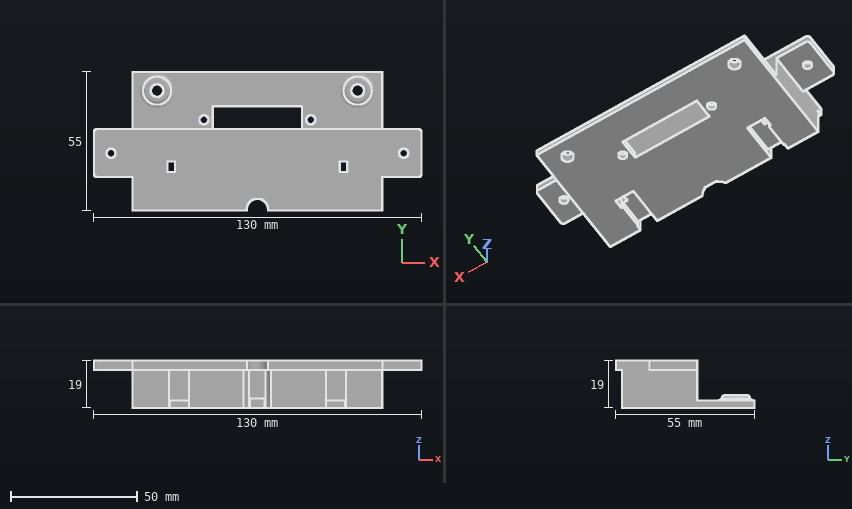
import cadquery as cq

total_depth = 55.0
total_height = 19.0
body_width = 99.2
lip_overhang = 2.3
step_y = 32.4
base_thickness = 3.1

plate_thickness = 3.9
plate_bottom = total_height - plate_thickness
wing_span = 130
wing_offset_x = 0.1
wing_front_y = 13.3
wing_corner_radius = 1.3

screw_diameter = 3.5
wing_hole_spacing = 116.1
wing_hole_y = 22.7
base_hole_spacing = 42.4
base_hole_y = 36.0
window_width = 35.4
window_rear_y = 41.3

boss_spacing = 79.5
boss_y = 47.6
boss_hole_diameter = 5.0
boss_foot_radius = 7.1
boss_waist_radius = 5.6
boss_top_radius = 4.22
boss_height = 2.1
boss_waist_height = 0.8

slot_spacing = 68.2
slot_width = 2.9
slot_length = 4.0
slot_y = 17.4
groove_inner_x = 27.2
groove_outer_x = 35.1
groove_depth = 2.3
channel_inset = 0.4
channel_height = 3.0

notch_radius = 4.2
notch_centre_y = 0.5
relief_radius = 6.4
relief_centre_y = -0.9
relief_flat_y = 4.5
recess_width = 5.7
recess_height = 3.8
recess_depth = 0.5


def block(x_min, x_max, y_min, y_max, z_min, z_max):
    """Box given by its limits along each axis."""
    return cq.Workplane("XY").box(
        x_max - x_min, y_max - y_min, z_max - z_min, centered=False
    ).translate((x_min, y_min, z_min))


def centred_block(width, y_min, y_max, z_min, z_max):
    return block(-width / 2, width / 2, y_min, y_max, z_min, z_max)


def cylinder(x, y, radius, z_min, z_max):
    return cq.Workplane("XY", origin=(x, y, z_min)).circle(radius).extrude(z_max - z_min)


def make_boss(x):
    """Low round boss: concave foot flowing into a rounded top."""
    foot_width = boss_foot_radius - boss_waist_radius
    shoulder_width = boss_waist_radius - boss_top_radius
    shoulder_height = boss_height - boss_waist_height
    foot_arc = (foot_width**2 + boss_waist_height**2) / (2 * boss_waist_height)
    shoulder_arc = (shoulder_width**2 + shoulder_height**2) / (2 * shoulder_height)
    return (
        cq.Workplane("XZ")
        .moveTo(0, -base_thickness)
        .lineTo(boss_foot_radius, -base_thickness)
        .lineTo(boss_foot_radius, 0)
        .radiusArc((boss_waist_radius, boss_waist_height), foot_arc)
        .radiusArc((boss_top_radius, boss_height), -shoulder_arc)
        .lineTo(0, boss_height)
        .close()
        .revolve(360, (0, 0, 0), (0, 1, 0))
        .translate((x, boss_y, base_thickness))
    )


def make_cable_route(side):
    """Groove, underside channel and top slot on one side (side is -1 or 1)."""
    groove_back_y = lip_overhang + groove_depth
    slot_rear_y = slot_y + slot_length / 2
    slot_x = side * slot_spacing / 2
    groove_x = sorted((side * groove_inner_x, side * groove_outer_x))
    channel_x = sorted((side * groove_inner_x, side * (groove_outer_x - channel_inset)))
    groove = block(*groove_x, 0, groove_back_y, 0, plate_bottom)
    channel = block(*channel_x, 0, slot_rear_y, 0, channel_height)
    slot = block(
        slot_x - slot_width / 2, slot_x + slot_width / 2,
        slot_y - slot_length / 2, slot_rear_y, 0, total_height,
    )
    return groove.union(channel).union(slot)


def make_front_relief():
    """U-notch in the plate above a larger, flat-backed round relief in the body."""
    notch = cylinder(0, notch_centre_y, notch_radius, plate_bottom, total_height)
    notch = notch.union(
        centred_block(2 * notch_radius, 0, notch_centre_y, plate_bottom, total_height)
    )
    relief = cylinder(0, relief_centre_y, relief_radius, 0, plate_bottom)
    relief = relief.intersect(
        centred_block(2 * relief_radius, 0, relief_flat_y, 0, plate_bottom)
    )
    recess = centred_block(recess_width, 0, relief_flat_y + recess_depth, 0, recess_height)
    return notch.union(relief).union(recess)


base = centred_block(body_width, lip_overhang, total_depth, 0, base_thickness)
raised_block = centred_block(body_width, lip_overhang, step_y, 0, plate_bottom)
plate = centred_block(body_width, 0, step_y, plate_bottom, total_height)
wings = (
    centred_block(wing_span, wing_front_y, step_y, plate_bottom, total_height)
    .edges("|Z")
    .fillet(wing_corner_radius)
    .translate((wing_offset_x, 0, 0))
)
window = centred_block(window_width, step_y, window_rear_y, 0, base_thickness)
result = base.union(raised_block).union(plate).union(wings).cut(window)

for side in (-1, 1):
    boss_x = side * boss_spacing / 2
    result = result.union(make_boss(boss_x))
    holes = (
        (boss_x, boss_y, boss_hole_diameter),
        (side * wing_hole_spacing / 2, wing_hole_y, screw_diameter),
        (side * base_hole_spacing / 2, base_hole_y, screw_diameter),
    )
    for x, y, diameter in holes:
        result = result.cut(cylinder(x, y, diameter / 2, 0, total_height))
    result = result.cut(make_cable_route(side))

result = result.cut(make_front_relief())